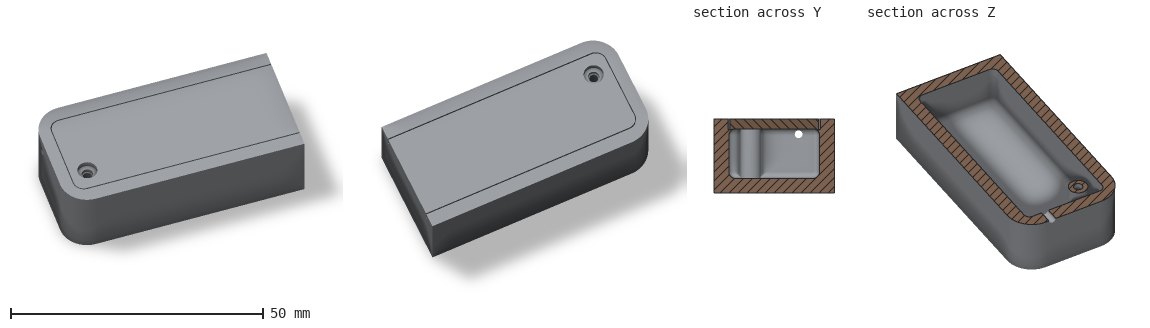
import cadquery as cq

LENGTH = 49.15
WIDTH = 23.9
HEIGHT = 14.75
CORNER_RADIUS = 5.6
FRONT_Y = -LENGTH / 2
BACK_Y = LENGTH / 2

LID_THICKNESS = 2.0
SLOT_FLOOR_Z = HEIGHT - LID_THICKNESS
SLOT_WIDTH = 18.2
SLOT_FRONT_Y = FRONT_Y + 2.5
SLOT_CORNER_RADIUS = 2.3

SIDE_GAP = 0.25
FRONT_GAP = 0.2
LID_CORNER_RADIUS = SLOT_CORNER_RADIUS - SIDE_GAP

WALL = 3.0
CAVITY_RADIUS = 1.25

CABLE_HOLE_DIAMETER = 1.5
CABLE_HOLE_X = -4.85
CABLE_HOLE_Z = 11.65
CABLE_HOLE_DEPTH = 2 * WALL

SCREW_X = 4.65
SCREW_Y = FRONT_Y + 6.25
HEAD_DIAMETER = 4.0
HEAD_DEPTH = 1.25
CLEARANCE_DIAMETER = 2.25
THREAD_DIAMETER = 1.75
THREAD_DEPTH = 5.9
BOSS_DIAMETER = HEAD_DIAMETER


def round_front_plate(width, front_y, corner_radius, bottom_z):
    """Plate from bottom_z to the top, reaching the back, with its two front corners rounded."""
    length = BACK_Y - front_y
    plate = cq.Workplane("XY", origin=(0, front_y + length / 2, bottom_z)).box(
        width, length, HEIGHT - bottom_z, centered=(True, True, False)
    )
    return plate.edges("|Z and <Y").fillet(corner_radius)


def z_cylinder(diameter, bottom_z, top_z):
    """Upright cylinder on the screw axis."""
    base = cq.Workplane("XY", origin=(SCREW_X, SCREW_Y, bottom_z))
    return base.circle(diameter / 2).extrude(top_z - bottom_z)


def make_cavity():
    """Rounded storage space around a screw boss."""
    space = cq.Workplane("XY", origin=(0, 0, WALL)).box(
        WIDTH - 2 * WALL, LENGTH - 2 * WALL, SLOT_FLOOR_Z - WALL, centered=(True, True, False)
    )
    space = space.edges().fillet(CAVITY_RADIUS)
    boss = z_cylinder(BOSS_DIAMETER, WALL, SLOT_FLOOR_Z)
    return space.cut(boss)


def make_housing():
    """Hollow block with the lid slot, cable hole and threaded screw hole."""
    block = round_front_plate(WIDTH, FRONT_Y, CORNER_RADIUS, 0)
    slot = round_front_plate(SLOT_WIDTH, SLOT_FRONT_Y, SLOT_CORNER_RADIUS, SLOT_FLOOR_Z)
    cable_hole = (
        cq.Workplane("XZ", origin=(CABLE_HOLE_X, FRONT_Y, CABLE_HOLE_Z))
        .circle(CABLE_HOLE_DIAMETER / 2)
        .extrude(-CABLE_HOLE_DEPTH)
    )
    thread_hole = z_cylinder(THREAD_DIAMETER, SLOT_FLOOR_Z - THREAD_DEPTH, SLOT_FLOOR_Z)
    return block.cut(slot).cut(make_cavity()).cut(cable_hole).cut(thread_hole)


def make_lid():
    """Flat lid with a counterbored screw hole, flush with the top of the housing."""
    plate = round_front_plate(
        SLOT_WIDTH - 2 * SIDE_GAP, SLOT_FRONT_Y + FRONT_GAP, LID_CORNER_RADIUS, SLOT_FLOOR_Z
    )
    head_recess = z_cylinder(HEAD_DIAMETER, HEIGHT - HEAD_DEPTH, HEIGHT)
    screw_hole = z_cylinder(CLEARANCE_DIAMETER, SLOT_FLOOR_Z, HEIGHT)
    return plate.cut(head_recess).cut(screw_hole)


housing = make_housing()
lid = make_lid()

result = cq.Compound.makeCompound([housing.solids().val(), lid.solids().val()])